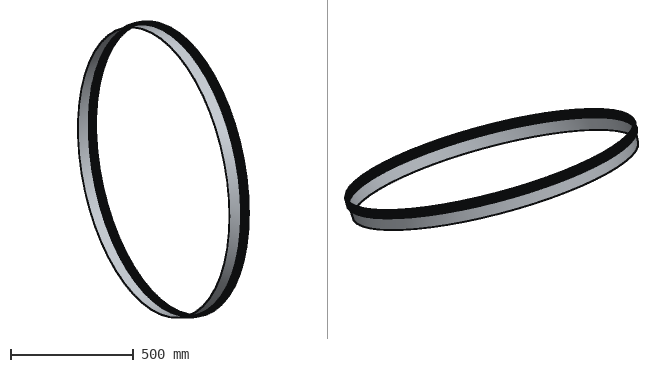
import cadquery as cq

RING_LENGTH = 90.0
WALL = 1.5

RIM_RADIUS = 1217.0 / 2
CHANNEL_FLOOR_RADIUS = 1214 / 2
TUBE_REAR_RADIUS = 1210.0 / 2
TUBE_FRONT_RADIUS = 1205.0 / 2
CHANNEL_FRONT_DEPTH = 37.0
RIM_BEAD_WIDTH = 4.0

LIP_RADIUS = 1226 / 2
LIP_WIDTH = 5.0
LIP_DEPTHS = (7.0, 28.0)
SEAL_RIDGE_START = 18.0
SEAL_RIDGE_WIDTH = 6.0
SEAL_BAND_THICKNESS = 1.0


def revolve_profile(points):
    """Turn a closed (radius, Y) outline a full turn about the Y axis."""
    return cq.Workplane("XY").polyline(points).close().revolve(360, (0, 0, 0), (0, 1, 0))


def make_sleeve():
    """Thin tube whose rear part is bent outward into two beads with a channel between."""
    bead_inner = RIM_RADIUS - WALL
    floor_inner = CHANNEL_FLOOR_RADIUS - WALL
    rear_bead_front = -RIM_BEAD_WIDTH
    front_bead_front = -CHANNEL_FRONT_DEPTH
    front_bead_rear = front_bead_front + RIM_BEAD_WIDTH
    return revolve_profile([
        (RIM_RADIUS, 0),
        (RIM_RADIUS, rear_bead_front),
        (CHANNEL_FLOOR_RADIUS, rear_bead_front),
        (CHANNEL_FLOOR_RADIUS, front_bead_rear),
        (RIM_RADIUS, front_bead_rear),
        (RIM_RADIUS, front_bead_front),
        (TUBE_REAR_RADIUS, front_bead_front),
        (TUBE_FRONT_RADIUS, -RING_LENGTH),
        (TUBE_FRONT_RADIUS - WALL, -RING_LENGTH),
        (TUBE_REAR_RADIUS - WALL, front_bead_front + WALL),
        (bead_inner, front_bead_front + WALL),
        (bead_inner, front_bead_rear - WALL),
        (floor_inner, front_bead_rear - WALL),
        (floor_inner, 0),
    ])


def make_seal():
    """Band that fills the channel length, with a middle ridge between two lips."""
    band_radius = CHANNEL_FLOOR_RADIUS + SEAL_BAND_THICKNESS
    rear = -RIM_BEAD_WIDTH
    front = RIM_BEAD_WIDTH - CHANNEL_FRONT_DEPTH
    outline = [(CHANNEL_FLOOR_RADIUS, rear), (band_radius, rear)]
    raised_parts = [
        (LIP_DEPTHS[0], LIP_WIDTH, LIP_RADIUS),
        (SEAL_RIDGE_START, SEAL_RIDGE_WIDTH, RIM_RADIUS),
        (LIP_DEPTHS[1], LIP_WIDTH, LIP_RADIUS),
    ]
    for depth, width, radius in raised_parts:
        outline += [
            (band_radius, -depth),
            (radius, -depth),
            (radius, -depth - width),
            (band_radius, -depth - width),
        ]
    outline.append((CHANNEL_FLOOR_RADIUS, front))
    return revolve_profile(outline)


sleeve = make_sleeve()
seal = make_seal()
result = cq.Compound.makeCompound([sleeve.val(), seal.val()])